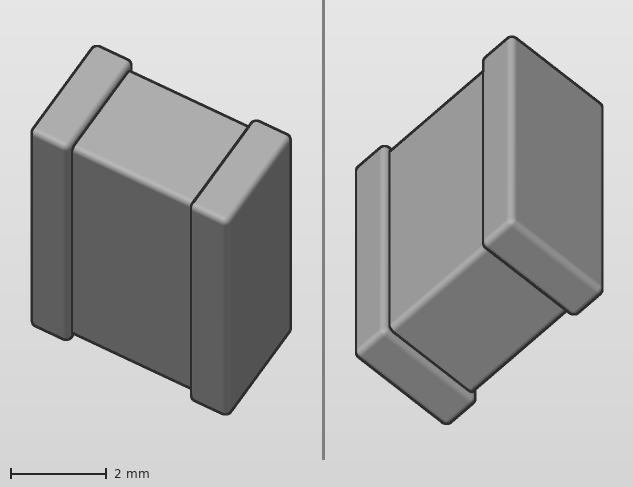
import cadquery as cq

LENGTH_X = 4.8
DEPTH_Y = 2.7
HEIGHT_Z = 6.8

TERMINAL_WIDTH = 0.95
EDGE_RADIUS = 0.14

CORE_LENGTH = LENGTH_X - 2 * TERMINAL_WIDTH
CORE_DEPTH = DEPTH_Y - 2 * EDGE_RADIUS
CORE_HEIGHT = HEIGHT_Z - 2 * EDGE_RADIUS
TERMINAL_OFFSET = (LENGTH_X - TERMINAL_WIDTH) / 2


def make_core():
    """Central block with its four long edges rounded."""
    block = cq.Workplane("XY").box(CORE_LENGTH, CORE_DEPTH, CORE_HEIGHT)
    return block.edges("|X").fillet(EDGE_RADIUS)


def make_terminal(center_x):
    """End terminal, a block rounded on every edge."""
    block = cq.Workplane("XY").box(TERMINAL_WIDTH, DEPTH_Y, HEIGHT_Z)
    return block.edges().fillet(EDGE_RADIUS).translate((center_x, 0, 0))


core = make_core()
terminals = [make_terminal(side * TERMINAL_OFFSET) for side in (-1, 1)]

result = cq.Compound.makeCompound([core.val(), *[terminal.val() for terminal in terminals]])